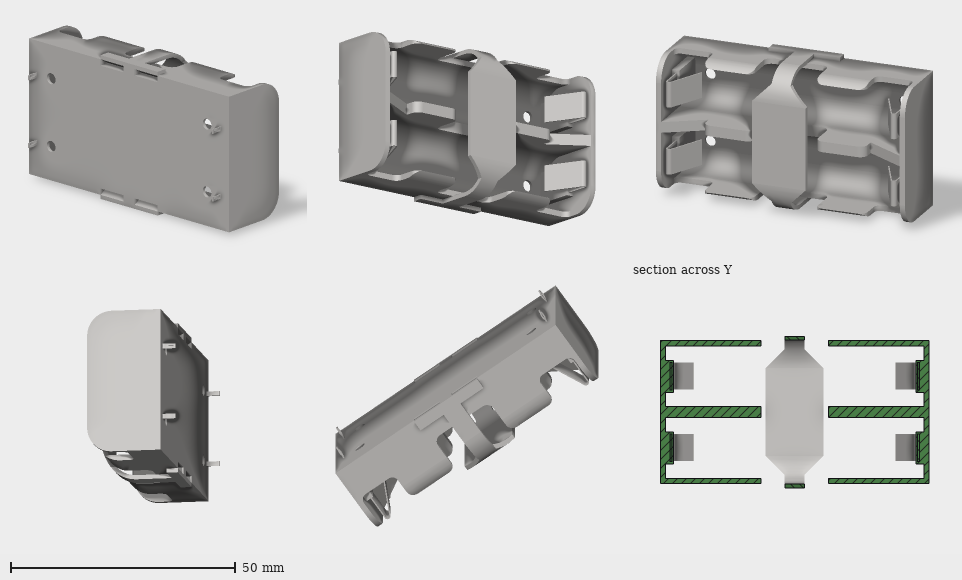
import cadquery as cq
import math


length = 60.0
width = 32.0
height = 16.7
corner_radius = 5.5
end_wall = 1.25
floor = 0.8

cell_offset = 8.0
trough_half_width = 6.7
trough_radius = 4.8
side_wall = width / 2 - cell_offset - trough_half_width

notch_end = 10.5
notch_floor = 7.8
notch_radius = 1.5
window_half_length = 7.55
window_floor = 6.1
lip_radius = 1.8
lip_height = height - corner_radius + math.sqrt(corner_radius**2 - (corner_radius - side_wall) ** 2)

divider_half_thickness = cell_offset - trough_half_width
divider_height = height - corner_radius

contact_inset = 2.4
ledge_end = 3.05
ledge_height = 10.3
ledge_margin = 0.6

vent_diameter = 2.6
vent_inset = 6.6

strip = 0.3
contact_width = 6.0
bend_radius = 0.7
leaf_angle = 25.8
leaf_end_height = 7.9
leg_width = 1.1
leg_length = 2.95
bow_start = 0.5
bow_end = 2.5
bow_rise = 0.2

strap_thickness = 0.95
strap_top_thickness = 1.0
strap_radius = 7.2
strap_half_length = 2.3
flare = 4.2
foot_half_length = 8.6
foot_height = 2.5

hook_gap_half = 1.7
hook_reach = 1.5
hook_depth = 2.5

half_length = length / 2
half_width = width / 2
crown_half_length = strap_half_length + flare
cell_positions = (-cell_offset, cell_offset)


def block(x_range, y_range, z_range):
    """Box between the given limits."""
    size = [high - low for low, high in (x_range, y_range, z_range)]
    corner = cq.Vector(x_range[0], y_range[0], z_range[0])
    return cq.Workplane(cq.Solid.makeBox(*size, corner))


def arch(x_half, z_half, y_low, y_high, radius):
    """Bar along X with a flat base and two rounded upper edges."""
    bar = block((-x_half, x_half), (y_low, y_high), (-z_half, z_half))
    return bar.edges("|X and >Y").fillet(radius)


def mirrored_x(body):
    """Copy of a left-hand body at the right end."""
    return body.mirror("YZ")



def round_corners(relief, level, radius):
    """Round the edges that run along Z at the given height."""
    reach = 0.05
    at_level = cq.selectors.BoxSelector(
        (-half_length, level - reach, -width), (half_length, level + reach, width))
    return relief.edges("|Z").edges(at_level).fillet(radius)


def side_wall_relief():
    """Everything to remove above the wavy upper edge of the two long side walls."""
    above = height + lip_radius
    notch_start = half_length - end_wall
    lip_outer = half_length - notch_end
    relief = (
        cq.Workplane("XY")
        .moveTo(-notch_start, above)
        .lineTo(-notch_start, notch_floor)
        .lineTo(-lip_outer, notch_floor)
        .lineTo(-lip_outer, lip_height)
        .lineTo(-window_half_length, lip_height)
        .lineTo(-window_half_length, window_floor)
        .lineTo(window_half_length, window_floor)
        .lineTo(window_half_length, lip_height)
        .lineTo(lip_outer, lip_height)
        .lineTo(lip_outer, notch_floor)
        .lineTo(notch_start, notch_floor)
        .lineTo(notch_start, above)
        .close()
        .extrude(half_width, both=True)
    )
    relief = round_corners(relief, notch_floor, notch_radius)
    relief = round_corners(relief, lip_height, lip_radius)
    return round_corners(relief, window_floor, lip_radius)


def trough(cell_z):
    """Space for one cell, open at the top, with its two long bottom edges rounded."""
    space = block(
        (-half_length + end_wall, half_length - end_wall),
        (floor, height),
        (cell_z - trough_half_width, cell_z + trough_half_width),
    )
    return space.edges("|X and <Y").fillet(trough_radius)


def divider():
    """Wall between the cells, rising along a ramp to the full height at each end wall."""
    ramp_start = half_length - end_wall
    ramp_end = half_length - notch_end
    return (
        cq.Workplane("XY")
        .moveTo(-ramp_start, floor)
        .lineTo(-ramp_start, height)
        .lineTo(-ramp_end, divider_height)
        .lineTo(-window_half_length, divider_height)
        .lineTo(-window_half_length, window_floor)
        .lineTo(window_half_length, window_floor)
        .lineTo(window_half_length, divider_height)
        .lineTo(ramp_end, divider_height)
        .lineTo(ramp_start, height)
        .lineTo(ramp_start, floor)
        .close()
        .extrude(divider_half_thickness, both=True)
    )


def contact_ledge(cell_z):
    """Ledge on the left end wall, slotted for one contact."""
    half_ledge = contact_width / 2 + ledge_margin
    return block(
        (-half_length + end_wall, -half_length + ledge_end),
        (floor, ledge_height),
        (cell_z - half_ledge, cell_z + half_ledge),
    )


def contact_slot(cell_z):
    """Slot for the upright plate in the ledge and for the leg in the floor."""
    plate_x = -half_length + contact_inset
    x_range = (plate_x - strip / 2, plate_x + strip / 2)
    plate_slot = block(
        x_range, (floor, ledge_height), (cell_z - contact_width / 2, cell_z + contact_width / 2))
    leg_slot = block(x_range, (0, floor), (cell_z - leg_width / 2, cell_z + leg_width / 2))
    return plate_slot.union(leg_slot)


def vent_hole(cell_z):
    """Round hole through the floor near the left end."""
    start = cq.Vector(-half_length + vent_inset, 0, cell_z)
    return cq.Workplane(cq.Solid.makeCylinder(vent_diameter / 2, floor, start, cq.Vector(0, 1, 0)))


def hook_pocket():
    """Pocket in the upper base edge for the hook on the left."""
    return block(
        (-foot_half_length, -hook_gap_half), (0, hook_depth), (half_width - hook_reach, half_width))


def make_housing():
    body = arch(half_length, half_width, 0, height, corner_radius)
    for cell_z in cell_positions:
        body = body.cut(trough(cell_z))
    body = body.cut(side_wall_relief()).union(divider())
    for cell_z in cell_positions:
        ledge = contact_ledge(cell_z)
        openings = contact_slot(cell_z).union(vent_hole(cell_z))
        body = body.union(ledge).union(mirrored_x(ledge))
        body = body.cut(openings).cut(mirrored_x(openings))
    pocket = hook_pocket()
    for cut in (pocket, mirrored_x(pocket)):
        body = body.cut(cut).cut(cut.mirror("XY"))
    return body



def strap_outline():
    """Half of the strap seen along Y: wide crown, flared narrow arm and wide foot."""
    foot_edge = half_width + strap_thickness
    crown_edge = foot_edge - strap_radius
    return (
        cq.Workplane("XZ")
        .moveTo(-crown_half_length, 0)
        .lineTo(-crown_half_length, crown_edge)
        .lineTo(-strap_half_length, crown_edge + flare)
        .lineTo(-strap_half_length, foot_edge)
        .lineTo(strap_half_length, foot_edge)
        .lineTo(strap_half_length, crown_edge + flare)
        .lineTo(crown_half_length, crown_edge)
        .lineTo(crown_half_length, 0)
        .close()
        .extrude(-height - strap_top_thickness)
    )


def strap_hook():
    """Wedge under the upper foot that grips the pocket on the left."""
    return (
        cq.Workplane("YZ", origin=(-foot_half_length, 0, 0))
        .moveTo(0, half_width)
        .lineTo(hook_depth, half_width)
        .lineTo(hook_depth, half_width - hook_reach)
        .close()
        .extrude(foot_half_length - hook_gap_half)
    )


def make_strap():
    outer = arch(
        crown_half_length, half_width + strap_thickness, 0, height + strap_top_thickness, strap_radius)
    inner = arch(crown_half_length, half_width, 0, height, strap_radius - strap_top_thickness)
    half_outline = strap_outline()
    body = outer.cut(inner).intersect(half_outline.union(half_outline.mirror("XY")))
    foot = block(
        (-foot_half_length, foot_half_length),
        (0, foot_height),
        (half_width, half_width + strap_thickness),
    )
    hook = strap_hook()
    foot = foot.union(hook).union(mirrored_x(hook))
    return body.union(foot).union(foot.mirror("XY"))



def spring_strip():
    """Upright plate, bend and slanting leaf, with the plate's middle at x = 0."""
    middle_radius = bend_radius - strip / 2
    bend_height = height - bend_radius
    angle = math.radians(leaf_angle)
    leaf_length = (bend_height + middle_radius * math.sin(angle) - leaf_end_height) / math.cos(angle)
    crown = math.radians(90)

    def on_bend(radius, direction):
        x = middle_radius + radius * math.cos(direction)
        return (x, bend_height + radius * math.sin(direction))

    def leaf_tip(radius):
        x, y = on_bend(radius, angle)
        return (x + leaf_length * math.sin(angle), y - leaf_length * math.cos(angle))

    inner_radius = bend_radius - strip
    return (
        cq.Workplane("XY")
        .moveTo(-strip / 2, floor)
        .lineTo(-strip / 2, bend_height)
        .threePointArc(on_bend(bend_radius, crown), on_bend(bend_radius, angle))
        .lineTo(*leaf_tip(bend_radius))
        .lineTo(*leaf_tip(inner_radius))
        .lineTo(*on_bend(inner_radius, angle))
        .threePointArc(on_bend(inner_radius, crown), (strip / 2, bend_height))
        .lineTo(strip / 2, floor)
        .close()
        .extrude(contact_width / 2, both=True)
    )


def leg_half(bow, z_side):
    """One half of the slit leg, bowed along X by the signed amount given."""
    bow_middle = (bow_start + bow_end) / 2
    return (
        cq.Workplane("XY")
        .moveTo(-strip / 2, floor)
        .lineTo(-strip / 2, -bow_start)
        .threePointArc((-strip / 2 + bow, -bow_middle), (-strip / 2, -bow_end))
        .lineTo(-strip / 2, -leg_length)
        .lineTo(strip / 2, -leg_length)
        .lineTo(strip / 2, -bow_end)
        .threePointArc((strip / 2 + bow, -bow_middle), (strip / 2, -bow_start))
        .lineTo(strip / 2, floor)
        .close()
        .extrude(z_side * leg_width / 2)
    )


def make_contact(cell_z):
    """Contact at the left end of one cell."""
    contact = spring_strip().union(leg_half(-bow_rise, 1)).union(leg_half(bow_rise, -1))
    return contact.translate((-half_length + contact_inset, 0, cell_z))


housing = make_housing()
strap = make_strap()
contacts = []
for cell_z in cell_positions:
    contact = make_contact(cell_z)
    contacts.append(contact.val())
    contacts.append(mirrored_x(contact).val())

result = cq.Compound.makeCompound([housing.val(), strap.val(), *contacts])